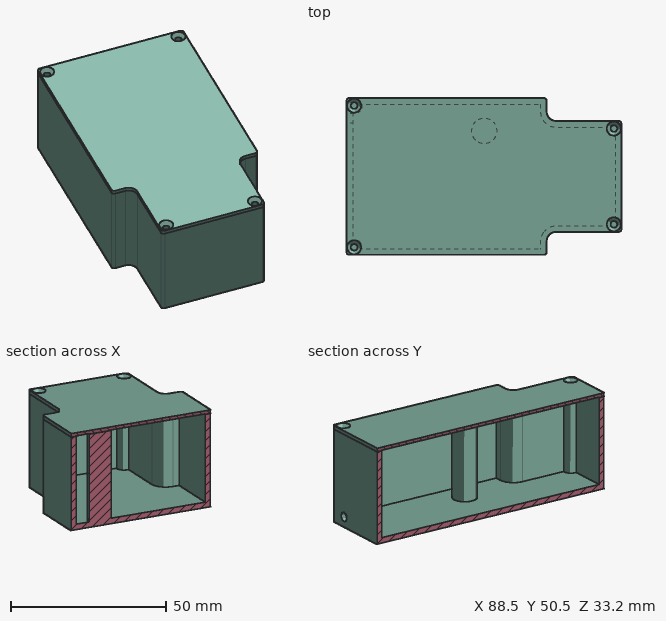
import cadquery as cq

length = 88.5
width = 50.5
height = 33.2

shoulder_x = 20.2
neck_width = 35.75
corner_radius = 1.0
shoulder_radius = 3.0

wall = 2.0
lid_thickness = 1.2
housing_height = height - lid_thickness

boss_diameter = 5.0
screw_hole_diameter = 2.1
countersink_diameter = 4.5
pilot_depth = 8.85
screw_inset = boss_diameter / 2
screw_x = length / 2 - screw_inset
body_screw_y = width / 2 - screw_inset
neck_screw_y = neck_width / 2 - screw_inset
screw_points = [
    (-screw_x, -body_screw_y),
    (-screw_x, body_screw_y),
    (screw_x, -neck_screw_y),
    (screw_x, neck_screw_y),
]

cable_hole_diameter = 3.0
cable_hole_y = body_screw_y - (boss_diameter + cable_hole_diameter) / 2
cable_hole_z = wall + cable_hole_diameter / 2

post_diameter = 8.1
post_x = 0.0
post_y = cable_hole_y - post_diameter / 2


def stepped_prism(inset, bottom, top):
    """Upright prism of the plan outline, moved inwards by inset; only the shoulder is rounded."""
    back = -length / 2 + inset
    front = length / 2 - inset
    shoulder = shoulder_x - inset
    half_body = width / 2 - inset
    half_neck = neck_width / 2 - inset
    arc_radius = shoulder_radius + inset
    arc_x = shoulder + arc_radius
    arc_y = half_neck + arc_radius
    return (
        cq.Workplane("XY", origin=(0, 0, bottom))
        .moveTo(back, -half_body)
        .lineTo(shoulder, -half_body)
        .lineTo(shoulder, -arc_y)
        .radiusArc((arc_x, -half_neck), arc_radius)
        .lineTo(front, -half_neck)
        .lineTo(front, half_neck)
        .lineTo(arc_x, half_neck)
        .radiusArc((shoulder, arc_y), arc_radius)
        .lineTo(shoulder, half_body)
        .lineTo(back, half_body)
        .close()
        .extrude(top - bottom)
    )


def outer_prism(bottom, top):
    """Prism of the full outline with its six outward corners rounded."""
    prism = stepped_prism(0, bottom, top)
    corners = [
        (x, side * half_width)
        for x, half_width in (
            (-length / 2, width / 2),
            (shoulder_x, width / 2),
            (length / 2, neck_width / 2),
        )
        for side in (-1, 1)
    ]
    for x, y in corners:
        corner_edge = cq.selectors.NearestToPointSelector((x, y, (bottom + top) / 2))
        prism = prism.edges("|Z").edges(corner_edge).fillet(corner_radius)
    return prism


def make_housing():
    """Open-topped box with screw bosses, a post and a cable hole."""
    shell = outer_prism(0, housing_height).cut(stepped_prism(wall, wall, housing_height))
    bosses = (
        cq.Workplane("XY")
        .pushPoints(screw_points)
        .circle(boss_diameter / 2)
        .extrude(housing_height)
    )
    pilot_holes = (
        cq.Workplane("XY", origin=(0, 0, housing_height))
        .pushPoints(screw_points)
        .circle(screw_hole_diameter / 2)
        .extrude(-pilot_depth)
    )
    post = (
        cq.Workplane("XY")
        .center(post_x, post_y)
        .circle(post_diameter / 2)
        .extrude(housing_height)
    )
    cable_hole = (
        cq.Workplane("YZ", origin=(-length / 2, cable_hole_y, cable_hole_z))
        .circle(cable_hole_diameter / 2)
        .extrude(wall)
    )
    return shell.union(bosses).union(post).cut(pilot_holes).cut(cable_hole)


def make_lid():
    """Flat cover whose countersinks narrow to the screw hole at its underside."""
    lid = outer_prism(housing_height, height)
    for x, y in screw_points:
        countersink = cq.Solid.makeCone(
            screw_hole_diameter / 2,
            countersink_diameter / 2,
            lid_thickness,
            cq.Vector(x, y, housing_height),
        )
        lid = lid.cut(cq.Workplane(countersink))
    return lid


housing = make_housing()
lid = make_lid()

result = cq.Compound.makeCompound([housing.val(), lid.val()])